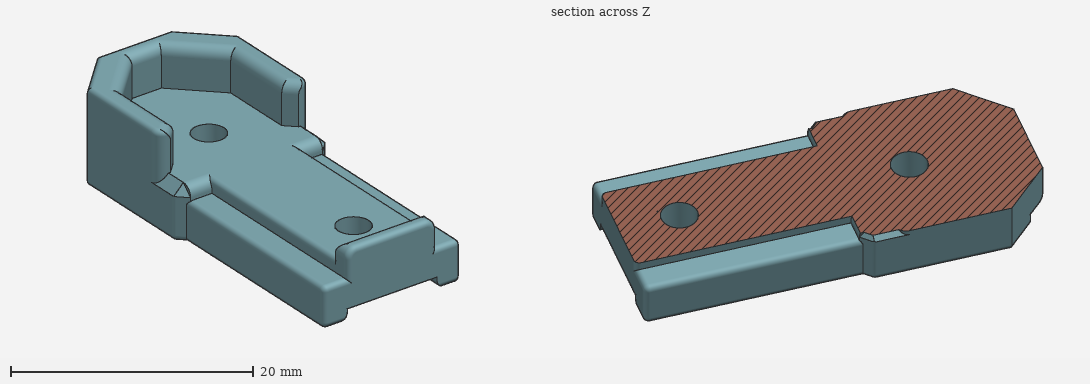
import cadquery as cq
length = 35.7
width = 15.6
height = 9.2
half_width = width / 2

small_radius = 0.5
large_radius = 1.0

recess_top_z = 1.2
ledge_z = 3.9
floor_z = 5.2
lip_z = 6.7

nose_cut = 4.0
nose_half_width = half_width - nose_cut
head_end_x = 16.95
bevel = large_radius
bevel_base_z = floor_z - bevel
bevel_start_x = head_end_x - bevel
bevel_inner_y = half_width - bevel

tail_half_width = 7.05
rail_half_width = 4.6
lip_length = 1.7
tail_overlap = 2.0

wall_end_x = 13.9
wall_nose_thickness = 1.75
pocket_half_width = 5.6
pocket_nose_half_width = 1.5
pocket_corner_x = wall_nose_thickness + pocket_half_width - pocket_nose_half_width
wall_inner_end_cut = 1.0

recess_half_width = rail_half_width
recess_corner_x = recess_half_width - nose_half_width

hole_diameter = 3.1
hole_spacing = 20.0
first_hole_x = 10.35

margin = 1.0
tol = 0.01


def box(x_min, x_max, half_y, z_min, z_max):
    """Box centred on the XZ plane."""
    size = (x_max - x_min, 2 * half_y, z_max - z_min)
    return cq.Workplane("XY").box(*size, centered=False).translate((x_min, -half_y, z_min))


def mirrored_prism(half_outline, z_min, z_max):
    """Prism whose outline is the +Y half given from nose to tail, plus its mirror image."""
    other_half = [(x, -y) for x, y in reversed(half_outline)]
    outline = cq.Workplane("XY").workplane(offset=z_min).polyline(half_outline + other_half)
    return outline.close().extrude(z_max - z_min)


def centres_in(x_range, half_y, z_range):
    """Selector for edges whose centres lie in a box centred on the XZ plane."""
    low = (x_range[0] - tol, -half_y - tol, z_range[0] - tol)
    high = (x_range[1] + tol, half_y + tol, z_range[1] + tol)
    return cq.selectors.BoxSelector(low, high)


def rear_corner_waste():
    """Material above the sloping triangular facet at the +Y rear corner of the head."""
    apex = (bevel_start_x, bevel_inner_y, floor_z)
    corner = cq.Workplane("XY").box(2 * bevel, 2 * bevel, 2 * bevel, centered=False)
    corner = corner.translate((bevel_start_x, bevel_inner_y, bevel_base_z))
    above_facet = cq.Workplane(cq.Plane(origin=apex, normal=(1, 1, 1)))
    above_facet = above_facet.rect(8 * bevel, 8 * bevel).extrude(4 * bevel)
    return corner.intersect(above_facet)


def make_head():
    """Pointed block up to the floor, with bevelled sides and a rounded rear shoulder."""
    outline = [
        (0, nose_half_width),
        (nose_cut, half_width),
        (bevel_start_x, half_width),
        (head_end_x, bevel_inner_y),
    ]
    head = mirrored_prism(outline, 0, floor_z)
    bevel_corners = centres_in((bevel_start_x, bevel_start_x), half_width, (0, floor_z))
    head = head.edges("|Z").edges(bevel_corners).fillet(small_radius)

    bevelled_sides = box(0, head_end_x, half_width, 0, floor_z).edges("|X and >Z").chamfer(bevel)
    rounded_shoulder = box(0, head_end_x, half_width, 0, floor_z).edges(">X and >Z").fillet(large_radius)
    head = head.intersect(bevelled_sides).intersect(rounded_shoulder)

    waste = rear_corner_waste()
    return head.cut(waste).cut(waste.mirror("XZ"))


def make_tail():
    """Flat tail carrying the rail and the end lip."""
    start_x = head_end_x - tail_overlap
    ledge = box(start_x, length, tail_half_width, 0, ledge_z).edges("|X and >Z").fillet(small_radius)
    rail = box(start_x, length, rail_half_width, 0, floor_z).edges("|X and >Z").fillet(small_radius)
    lip = box(length - lip_length, length, rail_half_width, 0, lip_z)
    lip = lip.edges(">Z").edges("<X or |X").fillet(large_radius)
    tail = ledge.union(rail).union(lip)
    return tail.faces(">X").edges("not <Z").fillet(small_radius)


def recess_mouth_waste():
    """Material outside the large rounding along both mouth edges of the recess."""
    axis_y = recess_half_width + large_radius
    waste = box(0, length, axis_y, 0, large_radius)
    axes = cq.Workplane("YZ").pushPoints([(-axis_y, large_radius), (axis_y, large_radius)])
    return waste.cut(axes.circle(large_radius).extrude(length))


def cut_recess(base):
    """Open the recess between the feet and round the feet and the nose edge above it."""
    base = base.cut(box(0, length, recess_half_width, 0, recess_top_z))
    base = base.edges("<X and |Y").edges("<Z").fillet(small_radius)
    foot_tips = centres_in((recess_corner_x, recess_corner_x), recess_half_width, (0, recess_top_z))
    base = base.edges("|Z").edges(foot_tips).fillet(small_radius)
    foot_outline = centres_in((0, length - small_radius - tol), half_width, (0, 0))
    base = base.faces("<Z").edges(foot_outline).fillet(small_radius)
    return base.cut(recess_mouth_waste())


def make_wall():
    """U-shaped wall around the nose: a rounded outer block shared with a rounded inner U."""
    outline = [(0, nose_half_width), (nose_cut, half_width), (wall_end_x, half_width)]
    outer = mirrored_prism(outline, bevel_base_z, height)
    outer = outer.edges("|Z and >X").fillet(large_radius)
    outer = outer.faces(">Z").edges().fillet(small_radius)

    pocket = [
        (wall_nose_thickness, pocket_nose_half_width),
        (pocket_corner_x, pocket_half_width),
        (wall_end_x - wall_inner_end_cut, pocket_half_width),
        (wall_end_x + margin, pocket_half_width + wall_inner_end_cut + margin),
    ]
    inner = box(-margin, wall_end_x + margin, half_width + margin, bevel_base_z, height)
    inner = inner.cut(mirrored_prism(pocket, bevel_base_z, height))
    pocket_side = centres_in((wall_nose_thickness, wall_end_x + margin / 2), half_width, (height, height))
    inner = inner.edges(pocket_side).fillet(large_radius)
    return outer.intersect(inner)


def drill_holes(body):
    """Drill the two through holes on the centre line."""
    for x in (first_hole_x, first_hole_x + hole_spacing):
        body = body.cut(cq.Workplane("XY").center(x, 0).circle(hole_diameter / 2).extrude(height))
    return body


base = cut_recess(make_head().union(make_tail()))
result = drill_holes(base.union(make_wall()))